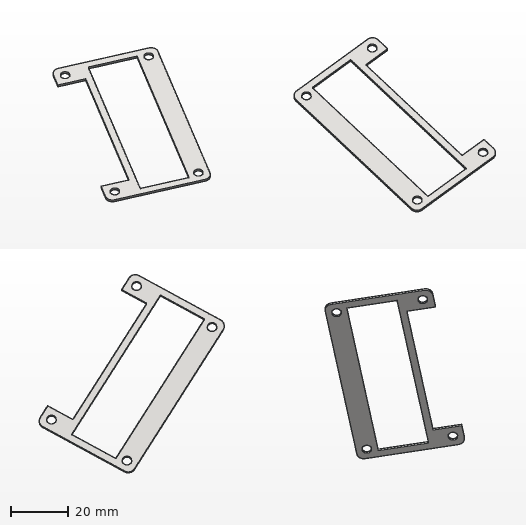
import cadquery as cq

GRID = 2.54
LENGTH = 26 * GRID
WIDTH = 15 * GRID
THICKNESS = 1.0
CORNER_RADIUS = GRID

HOLE_DIAMETER = 3.3
HOLE_INSET = 1.5 * GRID

SIDE_MARGIN = GRID
BACK_MARGIN = 3 * GRID
WINDOW_LENGTH = LENGTH - 2 * SIDE_MARGIN
WINDOW_WIDTH = 7 * GRID

FOOT_LENGTH = 3 * GRID
RAIL_WIDTH = GRID
NOTCH_LENGTH = LENGTH - 2 * FOOT_LENGTH
NOTCH_DEPTH = WIDTH - BACK_MARGIN - WINDOW_WIDTH - RAIL_WIDTH


def make_plate():
    """Rounded plate centred in X and Y, resting on Z = 0."""
    plate = cq.Workplane("XY").box(LENGTH, WIDTH, THICKNESS, centered=(True, True, False))
    return plate.edges("|Z").fillet(CORNER_RADIUS)


def make_cutout(length, width, center_y):
    """Rectangular through cutter, centred in X."""
    cutter = cq.Workplane("XY").box(length, width, THICKNESS, centered=(True, True, False))
    return cutter.translate((0, center_y, 0))


def make_holes():
    """Four through cutters, one near each corner."""
    return (
        cq.Workplane("XY")
        .rect(LENGTH - 2 * HOLE_INSET, WIDTH - 2 * HOLE_INSET, forConstruction=True)
        .vertices()
        .circle(HOLE_DIAMETER / 2)
        .extrude(THICKNESS)
    )


window = make_cutout(WINDOW_LENGTH, WINDOW_WIDTH, WIDTH / 2 - BACK_MARGIN - WINDOW_WIDTH / 2)
notch = make_cutout(NOTCH_LENGTH, NOTCH_DEPTH, -WIDTH / 2 + NOTCH_DEPTH / 2)

result = make_plate().cut(window).cut(notch).cut(make_holes())